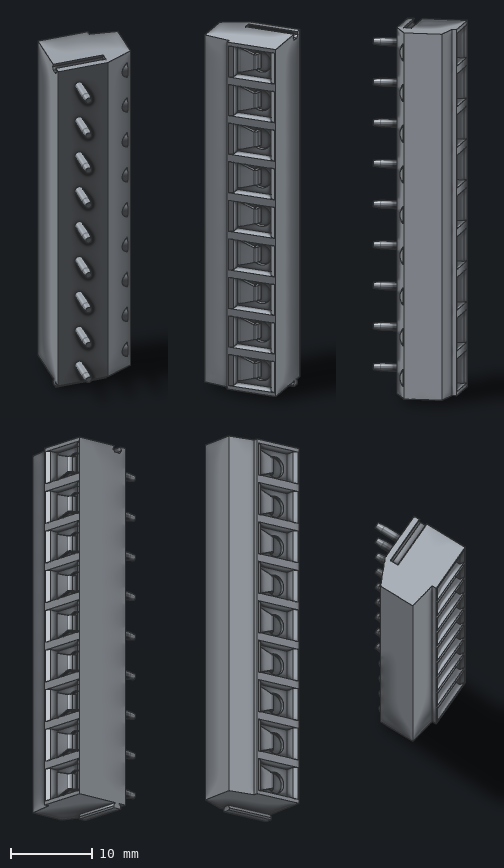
import cadquery as cq

pole_count = 9
pitch = 5.08
body_width = 7.5
body_height = 10.0
body_length = pole_count * pitch

shoulder_y = 6.5
shoulder_x = 0.6
crown_start_x = 1.15
crown_end_x = 5.9

window_length = 4.08
window_depth = 1.5
window_low_y = 0.73
window_high_y = 5.75
bevel_width = 0.58
bevel_depth = 0.3

wire_hole_radius = 1.35
wire_hole_y = 2.6
wire_hole_depth = 0.5

leaf_root_y = 5.65
leaf_taper_start_y = 5.2
leaf_taper_end_y = 3.35
leaf_bend_end_y = 2.98
leaf_tip_y = 2.77
leaf_tip_step = 0.2
leaf_root_length = 3.2
leaf_tip_length = 1.95
leaf_height = 0.5
leaf_bend_radius = 0.44

pin_y = 2.7
pin_radius = 0.5
pin_tip_radius = 0.38
pin_shank_length = 2.75
pin_length = 3.7

screw_head_x = 4.7
screw_head_radius = 1.8
screw_head_top_y = 9.46
screw_head_height = 1.5

rail_x = 6.17
rail_height = 0.69
groove_depth = 0.8
rail_wide_height = 0.46
rail_widths = (0.7, 1.25, 0.98)
groove_widths = (1.0, 1.35, 0.8)


def make_housing():
    outline = [
        (0, 0),
        (body_width, 0),
        (body_width, shoulder_y),
        (crown_end_x, body_height),
        (crown_start_x, body_height),
        (shoulder_x, shoulder_y),
        (0, shoulder_y),
    ]
    return cq.Workplane("XY").polyline(outline).close().extrude(body_length)


def make_rail(neck_z, widths, height):
    """Waisted bar along Y, hanging down from the height neck_z."""
    drops = (0, rail_wide_height, height)
    half_outline = [(width / 2, drop) for width, drop in zip(widths, drops)]
    right_side = [(rail_x + half, neck_z - drop) for half, drop in half_outline]
    left_side = [(rail_x - half, neck_z - drop) for half, drop in reversed(half_outline)]
    return cq.Workplane("XZ").polyline(right_side + left_side).close().extrude(-shoulder_y)


def make_window(center_z):
    """Wire-entry opening with bevelled rims at both Y ends."""
    outline = [
        (0, window_low_y - bevel_width),
        (bevel_depth, window_low_y),
        (window_depth, window_low_y),
        (window_depth, window_high_y),
        (bevel_depth, window_high_y),
        (0, window_high_y + bevel_width),
    ]
    opening = cq.Workplane("XY", origin=(0, 0, center_z - window_length / 2))
    return opening.polyline(outline).close().extrude(window_length)


def make_wire_hole(center_z):
    floor = cq.Workplane("YZ", origin=(window_depth, wire_hole_y, center_z))
    return floor.circle(wire_hole_radius).extrude(wire_hole_depth)


def make_leaf(center_z):
    """Side profile with two bends, trimmed to the tapered plan shape."""
    front_x = window_depth - leaf_height
    back_x = window_depth + wire_hole_depth
    side_profile = (
        cq.Workplane("XY", origin=(0, 0, center_z - leaf_root_length / 2))
        .moveTo(back_x, leaf_tip_y)
        .lineTo(back_x - leaf_tip_step, leaf_tip_y)
        .lineTo(front_x + leaf_bend_radius, leaf_bend_end_y)
        .radiusArc((front_x, leaf_bend_end_y + leaf_bend_radius), leaf_bend_radius)
        .lineTo(front_x, leaf_root_y - leaf_bend_radius)
        .radiusArc((front_x + leaf_bend_radius, leaf_root_y), leaf_bend_radius)
        .lineTo(back_x, leaf_root_y)
        .close()
        .extrude(leaf_root_length)
    )
    plan_side = [
        (leaf_root_y, leaf_root_length / 2),
        (leaf_taper_start_y, leaf_root_length / 2),
        (leaf_taper_end_y, leaf_tip_length / 2),
        (leaf_tip_y, leaf_tip_length / 2),
    ]
    plan_mirror = [(y, -half) for y, half in reversed(plan_side)]
    plan = (
        cq.Workplane("YZ", origin=(front_x, 0, center_z))
        .polyline(plan_side + plan_mirror)
        .close()
        .extrude(back_x - front_x)
    )
    return side_profile.intersect(plan)


def make_pin(center_z):
    outline = [
        (0, 0),
        (0, -pin_radius),
        (pin_shank_length, -pin_radius),
        (pin_length, -pin_tip_radius),
        (pin_length, 0),
    ]
    profile = cq.Workplane("XY", origin=(body_width, pin_y, center_z)).polyline(outline).close()
    return profile.revolve(360, (0, 0, 0), (1, 0, 0))


def make_screw_head(center_z):
    top = cq.Workplane("XZ", origin=(screw_head_x, screw_head_top_y, center_z))
    return top.circle(screw_head_radius).extrude(screw_head_height)


result = make_housing()
result = result.cut(make_rail(body_length, groove_widths, groove_depth))
result = result.union(make_rail(0, rail_widths, rail_height))

for pole in range(pole_count):
    pole_z = (pole + 0.5) * pitch
    result = result.cut(make_window(pole_z)).cut(make_wire_hole(pole_z))
    result = result.union(make_leaf(pole_z))
    result = result.union(make_pin(pole_z)).union(make_screw_head(pole_z))